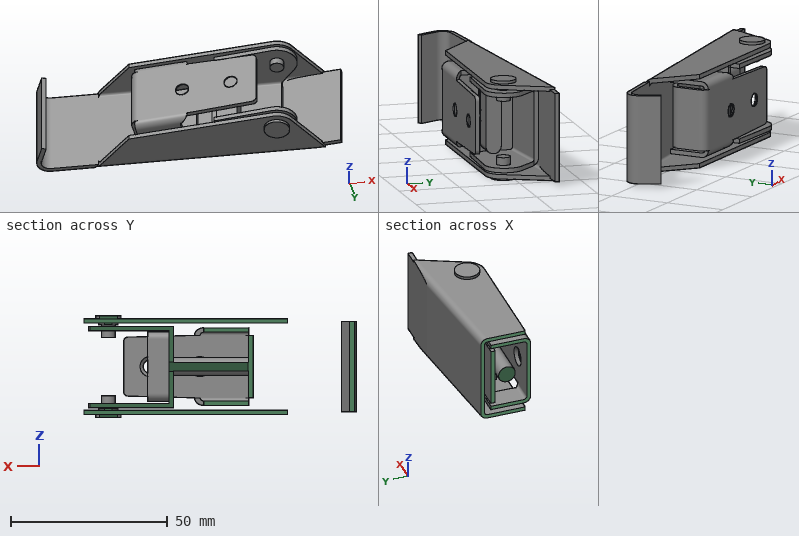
import cadquery as cq
import math

SHEET = 1.5
TAIL_END_X = 97.0
DEPTH = 21.3
REACH = 116.4

PIVOT_X = 79.1
PIVOT_Y = -13.5
SHANK_RADIUS = 2.2
SHANK_END_Z = 9.2
HEAD_RADIUS = 4.1
TOP_Z = 32.5 / 2
WASHER_RADIUS = 3.1
WASHER_THICKNESS = 0.6

LEVER_TILT = 6.4
BLANK_HALF = 14.5
LEVER_HALF = 15.3
LEVER_INNER_BEND = 0.9
HOOK_RADIUS = 4.2
HOOK_LIP_ANGLE = 63.0
HOOK_LIP_LENGTH = 6.8
FLANGE_START = (17.6, -6.8)
FLANGE_FRONT_X = 31.9
FLANGE_FRONT_Y = -19.4
FLANGE_END_X = 91.7

BRACKET_HALF = 13.0
BRACKET_SHIFT_Z = -0.2
BRACKET_INNER_BEND = 0.9
BRACKET_LEFT_X = 58.3
BRACKET_WEB_END_X = 78.0
END_PLATE_FRONT_Y = -15.9
ARM_LEFT_Y = -19.1
ARM_RADIUS = 6.5
ARM_CENTRE = (79.0, -13.2)

BOLT_Y = -13.2
ROD_RADIUS = 2.9
BOLT_HEAD_HALF_Z = 11.2
BOLT_HEAD_FRONT_Y = -15.7
BOLT_HEAD_EDGE = 2.4
BOLT_HEAD_END_X = 66.5

BASE_LEFT_X = 32.8
BASE_RIGHT_X = 74.2
BASE_BACK_Y = -7.8
BASE_BEND = 2.4
BASE_BACK_BEND = 3.9
BASE_HALF = 10.0
BASE_TIP_HALF = 9.4
BASE_TIP_CORNER = 1.5
SIDE_START_X = 34.2
SIDE_END_X = 51.6
SIDE_BEVEL_X = 2.9
SIDE_BEVEL_Y = 2.3
BASE_HOLE_RADIUS = 2.1
BASE_HOLE_RIM = 0.4
BASE_HOLE_XS = (49.9, 65.8)

tilt_cos = math.cos(math.radians(LEVER_TILT))
tilt_sin = math.sin(math.radians(LEVER_TILT))


def back_y(x):
    """Y of the lever's sloping back face, which meets the flat tail above the pivot."""
    return (x - PIVOT_X) * tilt_sin / tilt_cos


def prism(outline, half_z):
    """Extrude an XY outline symmetrically about Z = 0."""
    return outline.extrude(half_z, both=True)


def sloping_bar(half_z, bend, inset):
    """Solid bar along the lever's slope, its rounded back lying `inset` below the lever's back face."""
    across_slope = cq.Plane(
        origin=(PIVOT_X, 0, 0), xDir=(-tilt_sin, tilt_cos, 0), normal=(tilt_cos, tilt_sin, 0)
    )
    return (
        cq.Workplane(across_slope)
        .moveTo(-REACH, -half_z)
        .lineTo(-inset - bend, -half_z)
        .radiusArc((-inset, -half_z + bend), -bend)
        .lineTo(-inset, half_z - bend)
        .radiusArc((-inset - bend, half_z), -bend)
        .lineTo(-REACH, half_z)
        .close()
        .extrude(REACH, both=True)
    )


def z_cylinder(radius, z_low, z_high):
    """Cylinder on the pivot axis."""
    return (
        cq.Workplane("XY", origin=(PIVOT_X, PIVOT_Y, z_low)).circle(radius).extrude(z_high - z_low)
    )


def around_pivot(radius, angle):
    """XY point on a circle about the pivot, the angle measured from +X."""
    return (PIVOT_X + radius * math.cos(angle), PIVOT_Y + radius * math.sin(angle))


def flange_outline():
    """Side outline of the flanges, running past the back face at its two upper corners."""
    start_slope = (FLANGE_FRONT_Y - FLANGE_START[1]) / (FLANGE_FRONT_X - FLANGE_START[0])
    start_x = FLANGE_START[0] - FLANGE_START[1] / start_slope
    span_x = FLANGE_END_X - PIVOT_X
    span_y = -PIVOT_Y
    radius = PIVOT_Y - FLANGE_FRONT_Y
    tangent_angle = math.atan2(span_y, span_x) - math.acos(radius / math.hypot(span_x, span_y))
    middle_angle = (tangent_angle - math.pi / 2) / 2
    return (
        cq.Workplane("XY")
        .moveTo(start_x, 0)
        .lineTo(FLANGE_FRONT_X, FLANGE_FRONT_Y)
        .lineTo(PIVOT_X, FLANGE_FRONT_Y)
        .threePointArc(around_pivot(radius, middle_angle), around_pivot(radius, tangent_angle))
        .lineTo(FLANGE_END_X, 0)
        .close()
    )


def hook_strip():
    """Sloping strip that curls round the hook bend into a straight lip."""
    lip = math.radians(HOOK_LIP_ANGLE)
    centre_x = HOOK_RADIUS
    centre_y = back_y(centre_x) - HOOK_RADIUS / tilt_cos
    inner_radius = HOOK_RADIUS - SHEET
    mid_angle = math.radians((90 + LEVER_TILT + 270 - HOOK_LIP_ANGLE) / 2)

    def on_bend(radius, direction):
        return (centre_x + radius * direction[0], centre_y + radius * direction[1])

    back_normal = (-tilt_sin, tilt_cos)
    mid_normal = (math.cos(mid_angle), math.sin(mid_angle))
    lip_normal = (-math.sin(lip), -math.cos(lip))
    lip_run = (HOOK_LIP_LENGTH * math.cos(lip), -HOOK_LIP_LENGTH * math.sin(lip))
    outer_lip = on_bend(HOOK_RADIUS, lip_normal)
    inner_lip = on_bend(inner_radius, lip_normal)
    return prism(
        cq.Workplane("XY")
        .moveTo(FLANGE_FRONT_X, back_y(FLANGE_FRONT_X))
        .lineTo(*on_bend(HOOK_RADIUS, back_normal))
        .threePointArc(on_bend(HOOK_RADIUS, mid_normal), outer_lip)
        .lineTo(outer_lip[0] + lip_run[0], outer_lip[1] + lip_run[1])
        .lineTo(inner_lip[0] + lip_run[0], inner_lip[1] + lip_run[1])
        .lineTo(*inner_lip)
        .threePointArc(on_bend(inner_radius, mid_normal), on_bend(inner_radius, back_normal))
        .lineTo(FLANGE_FRONT_X, back_y(FLANGE_FRONT_X) - SHEET / tilt_cos)
        .close(),
        BLANK_HALF,
    )


def make_lever():
    """Sloping channel with a hook at its left end and a flat tail at its right end."""
    outer = sloping_bar(LEVER_HALF, LEVER_INNER_BEND + SHEET, 0)
    inner = sloping_bar(LEVER_HALF - SHEET, LEVER_INNER_BEND, SHEET)
    sides = prism(flange_outline(), REACH)
    channel = outer.intersect(sides).cut(inner)
    hook = hook_strip().cut(sides)
    tail = cq.Workplane("XY").box(
        TAIL_END_X - PIVOT_X, SHEET, 2 * BLANK_HALF, centered=(False, False, True)
    ).translate((PIVOT_X, -SHEET, 0))
    holes = z_cylinder(SHANK_RADIUS, -TOP_Z, TOP_Z)
    return channel.union(hook).union(tail.intersect(outer)).cut(holes)


def make_bracket():
    """Channel nested inside the lever, closed at its left end by an upright plate."""
    outer = sloping_bar(BRACKET_HALF, BRACKET_INNER_BEND + SHEET, SHEET)
    inner = sloping_bar(BRACKET_HALF - SHEET, BRACKET_INNER_BEND, 2 * SHEET)
    arm_left_x = BRACKET_LEFT_X + SHEET
    centre_x, centre_y = ARM_CENTRE
    diagonal = ARM_RADIUS * math.sqrt(0.5)
    upper_y = centre_y + 2 * diagonal + centre_x - BRACKET_WEB_END_X
    arms = prism(
        cq.Workplane("XY")
        .moveTo(arm_left_x, 0)
        .lineTo(arm_left_x, ARM_LEFT_Y)
        .lineTo(centre_x, centre_y - ARM_RADIUS)
        .threePointArc(
            (centre_x + ARM_RADIUS, centre_y), (centre_x + diagonal, centre_y + diagonal)
        )
        .lineTo(BRACKET_WEB_END_X, upper_y)
        .lineTo(BRACKET_WEB_END_X, 0)
        .close(),
        REACH,
    )
    end_plate = prism(
        cq.Workplane("XY")
        .moveTo(BRACKET_LEFT_X, 0)
        .lineTo(BRACKET_LEFT_X, END_PLATE_FRONT_Y)
        .lineTo(arm_left_x, END_PLATE_FRONT_Y)
        .lineTo(arm_left_x, 0)
        .close(),
        REACH,
    )
    body = outer.cut(inner).intersect(arms).union(outer.intersect(end_plate))
    body = body.translate((0, 0, BRACKET_SHIFT_Z))
    rod_hole = x_rod(BRACKET_LEFT_X, arm_left_x)
    return body.cut(z_cylinder(SHANK_RADIUS, -TOP_Z, TOP_Z)).cut(rod_hole)


def x_rod(x_low, x_high):
    """Length of the bolt's rod, also used to cut its hole."""
    return (
        cq.Workplane("YZ", origin=(x_low, BOLT_Y, 0)).circle(ROD_RADIUS).extrude(x_high - x_low)
    )


def make_bolt():
    """Rod from the base's left wall through the bracket's end plate to a wide rounded head."""
    head_start_x = BRACKET_LEFT_X + SHEET
    head = (
        cq.Workplane("YZ", origin=(head_start_x, BOLT_Y, 0))
        .rect(2 * (BOLT_Y - BOLT_HEAD_FRONT_Y), 2 * BOLT_HEAD_HALF_Z)
        .extrude(BOLT_HEAD_END_X - head_start_x)
        .edges("|X")
        .fillet(BOLT_HEAD_EDGE)
    )
    return head.union(x_rod(BASE_LEFT_X + SHEET, head_start_x))


def wrap_block(left_x, right_x, front_y, wrap_back_y, inset):
    """Block with rounded left corners, bounding the wrap's outside (inset 0) or its inside."""
    return (
        cq.Workplane("XY")
        .moveTo(left_x, front_y)
        .lineTo(right_x, front_y)
        .lineTo(right_x, wrap_back_y)
        .lineTo(left_x, wrap_back_y)
        .close()
        .extrude(BASE_HALF, both=True)
        .edges(cq.selectors.NearestToPointSelector((left_x, front_y, 0)))
        .fillet(BASE_BEND - inset)
        .edges(cq.selectors.NearestToPointSelector((left_x, wrap_back_y, 0)))
        .fillet(BASE_BACK_BEND - inset)
    )


def base_wrap():
    """Front plate, left wall and back plate bent from one strip."""
    outer = wrap_block(BASE_LEFT_X, BASE_RIGHT_X, -DEPTH, BASE_BACK_Y, 0)
    inner = wrap_block(
        BASE_LEFT_X + SHEET, REACH, -DEPTH + SHEET, BASE_BACK_Y - SHEET, SHEET
    )
    beyond_back_plate = cq.Workplane("XY").box(
        REACH, DEPTH, REACH, centered=(False, False, True)
    ).translate((SIDE_END_X, -DEPTH + SHEET, 0))
    return outer.cut(inner).cut(beyond_back_plate)


def base_front_outline():
    """Front plate outline, narrowing slightly towards its rounded right end."""
    return (
        cq.Workplane("XZ")
        .moveTo(0, -BASE_HALF)
        .lineTo(SIDE_END_X, -BASE_HALF)
        .lineTo(BASE_RIGHT_X, -BASE_TIP_HALF)
        .lineTo(BASE_RIGHT_X, BASE_TIP_HALF)
        .lineTo(SIDE_END_X, BASE_HALF)
        .lineTo(0, BASE_HALF)
        .close()
        .extrude(DEPTH)
        .edges("|Y and >X")
        .fillet(BASE_TIP_CORNER)
    )


def side_flange():
    """Upper side flange, bent back from the front plate, with a bevelled right end."""
    inner_bend = BASE_BEND - SHEET
    top_z = BASE_HALF + BASE_BEND
    bend_y = -DEPTH + BASE_BEND
    section = (
        cq.Workplane("YZ")
        .moveTo(-DEPTH, BASE_HALF)
        .radiusArc((bend_y, top_z), BASE_BEND)
        .lineTo(BASE_BACK_Y, top_z)
        .lineTo(BASE_BACK_Y, top_z - SHEET)
        .lineTo(bend_y, top_z - SHEET)
        .radiusArc((-DEPTH + SHEET, BASE_HALF), -inner_bend)
        .close()
        .extrude(REACH)
    )
    side_view = prism(
        cq.Workplane("XY")
        .moveTo(SIDE_START_X, -DEPTH)
        .lineTo(SIDE_END_X, -DEPTH)
        .lineTo(SIDE_END_X - SIDE_BEVEL_X, -DEPTH + SIDE_BEVEL_Y)
        .lineTo(SIDE_END_X - SIDE_BEVEL_X, BASE_BACK_Y)
        .lineTo(SIDE_START_X, BASE_BACK_Y)
        .close(),
        REACH,
    )
    return section.intersect(side_view)


def countersunk_hole(hole_x):
    """Cutting tool for a front plate hole, countersunk at 45 degrees from inside the base."""
    inner_y = -DEPTH + SHEET
    rim_y = -DEPTH + BASE_HOLE_RIM
    inner_radius = BASE_HOLE_RADIUS + inner_y - rim_y
    return (
        cq.Workplane("XY")
        .moveTo(hole_x, -DEPTH)
        .lineTo(hole_x + BASE_HOLE_RADIUS, -DEPTH)
        .lineTo(hole_x + BASE_HOLE_RADIUS, rim_y)
        .lineTo(hole_x + inner_radius, inner_y)
        .lineTo(hole_x, inner_y)
        .close()
        .revolve(360, (hole_x, -DEPTH, 0), (hole_x, 0, 0))
    )


def make_base():
    """Folded base with two side flanges and two countersunk holes."""
    flange = side_flange()
    plates = base_wrap().intersect(base_front_outline())
    for hole_x in BASE_HOLE_XS:
        plates = plates.cut(countersunk_hole(hole_x))
    return plates.union(flange).union(flange.mirror("XY"))


def make_rivet(side):
    """Headed pin through one flange and arm; side is +1 for the upper one, -1 for the lower one."""
    shank = z_cylinder(SHANK_RADIUS, SHANK_END_Z, LEVER_HALF)
    head = z_cylinder(HEAD_RADIUS, LEVER_HALF, TOP_Z)
    rivet = shank.union(head)
    return rivet if side > 0 else rivet.mirror("XY")


def make_washer(side):
    """Ring against the inside of one lever flange."""
    outer_z = LEVER_HALF - SHEET
    inner_z = outer_z - WASHER_THICKNESS
    washer = z_cylinder(WASHER_RADIUS, inner_z, outer_z).cut(
        z_cylinder(SHANK_RADIUS, inner_z, outer_z)
    )
    return washer if side > 0 else washer.mirror("XY")


lever = make_lever()
bracket = make_bracket()
base = make_base()
bolt = make_bolt().cut(base)
rivets = [make_rivet(side).val() for side in (1, -1)]
washers = [make_washer(side).val() for side in (1, -1)]

result = cq.Compound.makeCompound(
    [lever.val(), bracket.val(), bolt.val(), base.val(), *rivets, *washers]
)